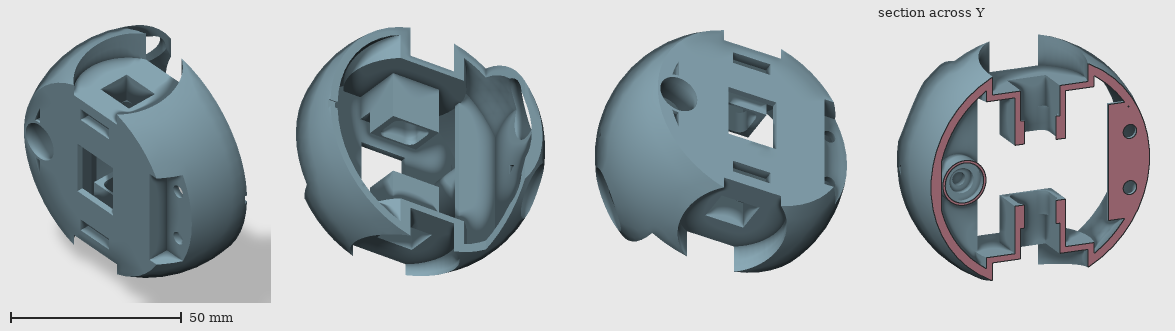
import cadquery as cq
import math

outer_radius = 37.0
shell_wall = 2.5
inner_radius = outer_radius - shell_wall
bottom_y = -20.0
rim_y = 6.95
brow_y = 27.0
brow_x = -19.1
plate_thickness = 2.0

seat_radius = 16.0
seat_y = -7.0
seat_z = 26.0

socket_width = 12.35
socket_height = 10.3
socket_y = -7.2
socket_corner = 2.5
socket_ledge_z = 16.65
block_end_z = 9.3
block_width = socket_width + 2 * plate_thickness
block_side_wall = 0.75
block_height = socket_height + 2 * block_side_wall

window_width = 15.6
window_height = 17.6
slot_width = 12.35
slot_height = 4.0
slot_x = -0.2
slot_z = 20.5
slot_depth = 3.0

tube_x = -24.2
tube_radius = 6.95
bore_radii = (6.1, 3.85, 2.1)
bore_depths = (10.0, 12.0, 14.0)
shelf_y = bottom_y + bore_depths[-1]
shelf_end_x = tube_x + tube_radius
slit_radius = 27.15

pad_x = 23.7
pad_y = -13.2
pad_half_length = 16.0
screw_x = 28.65
screw_z = 8.65
screw_radius = 2.1

eye_radius = 8.5
eye_z = 13.3
eye_wall_x = -26.2
eye_wall_y = 17.75
eye_tilt = 10.0

nose_base_y = 6.0
nose_tip_y = 8.95
nose_half_width = 1.55

reach = 3 * outer_radius


def span_box(x_range, y_range, z_range):
    """Box between pairs of X, Y and Z limits."""
    size = [high - low for low, high in (x_range, y_range, z_range)]
    corner = cq.Vector(x_range[0], y_range[0], z_range[0])
    return cq.Workplane(obj=cq.Solid.makeBox(*size, corner))


def rod(radius, start, direction, length):
    """Cylinder from a start point along a direction."""
    cylinder = cq.Solid.makeCylinder(radius, length, cq.Vector(*start), cq.Vector(*direction))
    return cq.Workplane(obj=cylinder)


def ball_slice(radius, low_y, high_y):
    """Sphere cut square to Y at two heights."""

    def on_circle(y):
        return (math.sqrt(radius**2 - y**2), y)

    return (
        cq.Workplane("XY")
        .moveTo(0, low_y)
        .lineTo(*on_circle(low_y))
        .threePointArc((radius, 0), on_circle(high_y))
        .lineTo(0, high_y)
        .close()
        .revolve(360, (0, 0), (0, 1))
    )


def mirrored(half):
    """A shape together with its mirror image across Z = 0."""
    return half.union(half.mirror("XY"))


def eye_frame(z):
    """Plane on the tilted eye wall, facing inward along the eye axis."""
    angle = math.radians(eye_tilt)
    return cq.Plane(
        origin=(eye_wall_x, eye_wall_y, z),
        xDir=(0, 0, 1),
        normal=(math.cos(angle), -math.sin(angle), 0),
    )


def outer_body():
    body = ball_slice(outer_radius, bottom_y, brow_y)
    above_rim = span_box((brow_x, reach), (rim_y, reach), (-reach, reach))
    seat = rod(seat_radius, (0, seat_y, seat_z), (0, 0, 1), outer_radius)
    return body.cut(above_rim).cut(mirrored(seat))


def seat_support():
    """Wall around the seat, its floor, the socket block and the backing of the slot."""
    cup = rod(seat_radius + plate_thickness, (0, seat_y, seat_z - plate_thickness), (0, 0, 1), outer_radius)
    block = span_box(
        (-block_width / 2, block_width / 2),
        (socket_y - block_height / 2, socket_y + block_height / 2),
        (block_end_z, seat_z),
    )
    backing = span_box(
        (-block_width / 2, block_width / 2),
        (bottom_y, socket_y),
        (slot_z - slot_height / 2 - plate_thickness, seat_z),
    )
    return cup.union(block).union(backing)


def cavity():
    """Hollow of the shell, leaving the inner walls and supports standing."""
    hollow = ball_slice(inner_radius, bottom_y, brow_y)
    plate = span_box((-reach, reach), (bottom_y, bottom_y + plate_thickness), (-reach, reach))
    eye_wall = cq.Workplane(eye_frame(0)).rect(reach, reach).extrude(-reach)
    tube = rod(tube_radius, (tube_x, bottom_y, 0), (0, 1, 0), bore_depths[-1])
    shelf = span_box((-reach, shelf_end_x), (shelf_y, shelf_y + plate_thickness), (-reach, reach))
    pad_half = pad_half_length + plate_thickness
    pad = span_box(
        (pad_x - plate_thickness, reach),
        (bottom_y, pad_y + plate_thickness),
        (-pad_half, pad_half),
    )
    for kept in (plate, eye_wall, tube, shelf, pad, mirrored(seat_support())):
        hollow = hollow.cut(kept)
    return hollow


def socket_hole():
    """Square hole from the seat down to the ledge, then rounded through the block."""
    square = (
        cq.Workplane("XY", origin=(0, socket_y, socket_ledge_z))
        .rect(socket_width, socket_height)
        .extrude(seat_z - socket_ledge_z)
    )
    rounded = (
        cq.Workplane("XY", origin=(0, socket_y, block_end_z))
        .rect(socket_width, socket_height)
        .extrude(socket_ledge_z - block_end_z)
        .edges("|Z")
        .fillet(socket_corner)
    )
    return square.union(rounded)


def plate_openings():
    window = span_box(
        (-window_width / 2, window_width / 2),
        (bottom_y, bottom_y + plate_thickness),
        (-window_height / 2, window_height / 2),
    )
    slot = span_box(
        (slot_x - slot_width / 2, slot_x + slot_width / 2),
        (bottom_y, bottom_y + slot_depth),
        (slot_z - slot_height / 2, slot_z + slot_height / 2),
    )
    return window.union(mirrored(slot))


def stepped_bore():
    steps = [rod(r, (tube_x, bottom_y, 0), (0, 1, 0), d) for r, d in zip(bore_radii, bore_depths)]
    first, second, third = steps
    return first.union(second).union(third)


def slits():
    """Openings in the floor plate on both sides of the tube, left of its axis."""
    disc = rod(slit_radius, (0, bottom_y, 0), (0, 1, 0), plate_thickness)
    right_part = span_box((tube_x, reach), (-reach, reach), (-reach, reach))
    tube = rod(tube_radius, (tube_x, bottom_y, 0), (0, 1, 0), plate_thickness)
    return disc.cut(right_part).cut(tube)


def screw_pad():
    recess = span_box((pad_x, reach), (-reach, pad_y), (-pad_half_length, pad_half_length))
    screw = rod(screw_radius, (screw_x, pad_y, screw_z), (0, 1, 0), plate_thickness)
    return recess.union(mirrored(screw))


def eye_holes():
    start = cq.Workplane(eye_frame(eye_z)).workplane(offset=-outer_radius / 2)
    eye = start.circle(eye_radius).extrude(outer_radius)
    return mirrored(eye)


def nose_hole():
    corners = [(nose_base_y, -nose_half_width), (nose_base_y, nose_half_width), (nose_tip_y, 0)]
    return cq.Workplane("YZ").polyline(corners).close().extrude(reach, both=True)


result = outer_body().cut(cavity())
for opening in (
    mirrored(socket_hole()),
    plate_openings(),
    stepped_bore(),
    slits(),
    screw_pad(),
    eye_holes(),
    nose_hole(),
):
    result = result.cut(opening)